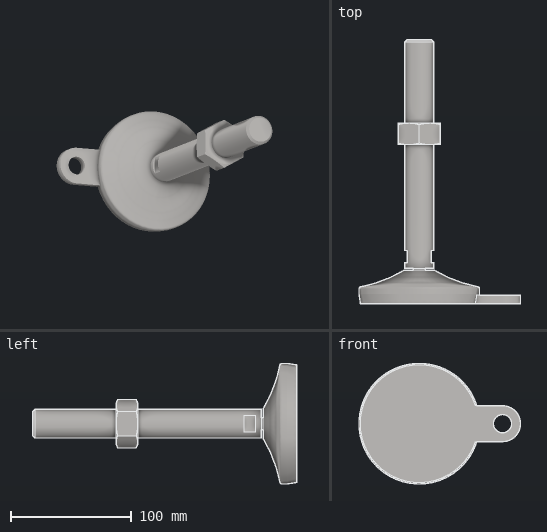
import cadquery as cq
import math

total_length = 219.0

base_diameter = 100.0
underside_diameter = 97.7
taper_height = 7.9
rim_height = 14.0
rim_fillet = 2.0
crown_height = 28.0
crown_diameter = 24.7
crown_fillet = 0.7
flare_sag = 2.0

lug_reach = 134.0 - base_diameter / 2
lug_width = 30.0
lug_thickness = 7.2
lug_hole_diameter = 15.0

stem_diameter = 24.0
stem_start = 29.3
stem_chamfer = 2.0
neck_diameter = 10.0
neck_overlap = 2.2

flats_start = 34.2
flats_length = 9.9
flats_across = 20.0

nut_start = 131.8
nut_height = 18.0
nut_across_flats = 35.0
nut_face_diameter = 34.5
nut_bevel_height = 1.3


def cylinder(diameter, start, length):
    """Cylinder on the Y axis, from start towards +Y."""
    plane = cq.Workplane("XZ", origin=(0, start, 0))
    return plane.circle(diameter / 2).extrude(-length)


def make_base():
    base_radius = base_diameter / 2
    crown_radius = crown_diameter / 2
    flare_middle = (
        (base_radius + crown_radius) / 2,
        (rim_height + crown_height) / 2 - flare_sag,
    )
    base = (
        cq.Workplane("XY")
        .lineTo(underside_diameter / 2, 0)
        .lineTo(base_radius, taper_height)
        .lineTo(base_radius, rim_height)
        .threePointArc(flare_middle, (crown_radius, crown_height))
        .lineTo(0, crown_height)
        .close()
        .revolve(360, (0, 0, 0), (0, 1, 0))
    )
    base = base.faces(">Y").edges().fillet(crown_fillet)
    rim_level = cq.selectors.BoxSelector(
        (-base_diameter, rim_height - rim_fillet, -base_diameter),
        (base_diameter, rim_height + rim_fillet, base_diameter),
    )
    return base.edges(rim_level).fillet(rim_fillet)


def make_lug():
    lug_radius = lug_width / 2
    eye_x = lug_reach - lug_radius
    outline = (
        cq.Workplane("XZ")
        .moveTo(0, -lug_radius)
        .lineTo(eye_x, -lug_radius)
        .threePointArc((lug_reach, 0), (eye_x, lug_radius))
        .lineTo(0, lug_radius)
        .close()
        .moveTo(eye_x, 0)
        .circle(lug_hole_diameter / 2)
    )
    return outline.extrude(-lug_thickness)


def make_stem():
    stem = cylinder(stem_diameter, stem_start, total_length - stem_start)
    stem = stem.faces(">Y").chamfer(stem_chamfer)
    flats_middle = flats_start + flats_length / 2
    for side in (-1, 1):
        cutter = cq.Workplane("XY").box(stem_diameter, flats_length, stem_diameter)
        offset = side * (flats_across + stem_diameter) / 2
        stem = stem.cut(cutter.translate((offset, flats_middle, 0)))
    return stem


def make_neck():
    neck_start = crown_height - neck_overlap
    neck_end = stem_start + neck_overlap
    return cylinder(neck_diameter, neck_start, neck_end - neck_start)


def make_nut():
    corner_diameter = nut_across_flats / math.cos(math.pi / 6)
    hexagon = (
        cq.Workplane("XZ", origin=(0, nut_start, 0))
        .transformed(rotate=(0, 0, 30))
        .polygon(6, corner_diameter)
        .extrude(-nut_height)
    )
    bevel_width = (corner_diameter - nut_face_diameter) / 2
    disc = cylinder(corner_diameter, nut_start, nut_height)
    disc = disc.faces("<Y or >Y").edges().chamfer(nut_bevel_height, bevel_width)
    return hexagon.intersect(disc)


result = make_base().union(make_lug()).union(make_neck()).union(make_stem()).union(make_nut())